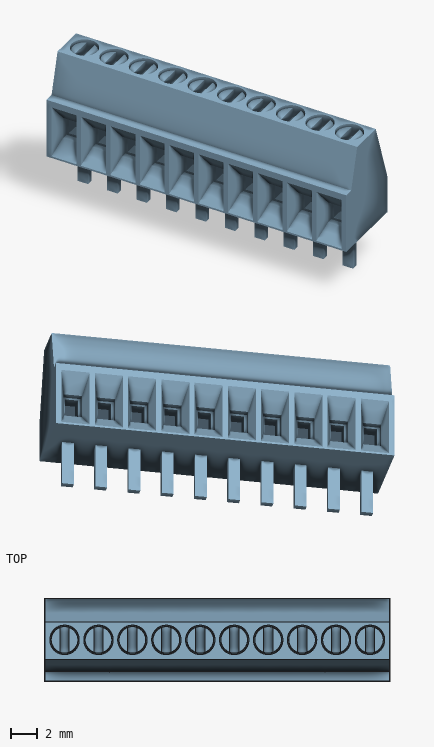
import cadquery as cq

pole_count = 10
pitch = 2.54
end_margin = 1.5
body_length = (pole_count - 1) * pitch + 2 * end_margin

body_depth = 6.2
body_height = 8.5
back_wall_height = 3.2
ledge_height = 5.1
ledge_depth = 0.75
top_back_y = 1.35
top_front_y = -1.45
front_y = -body_depth / 2
back_y = body_depth / 2

funnel_mouth_width = 2.15
funnel_bottom = 0.15
funnel_top = 4.55
funnel_depth = 1.1
clamp_width = 1.4
clamp_bottom = 1.3
clamp_top = 3.1
clamp_depth = 0.5
recess_width = 1.0
recess_bottom = 1.5
recess_top = 2.95
recess_depth = 1.0

screw_hole_diameter = 2.2
screw_hole_depth = 2.0
screw_diameter = 2.0
screw_head_drop = 0.2
slot_width = 0.7
slot_depth = 0.8

pin_width = 0.9
pin_thickness = 0.5
pin_length = 3.5

pole_positions = [(i - (pole_count - 1) / 2) * pitch for i in range(pole_count)]


def at_every_pole(shape):
    """Return a workplane holding a copy of the shape at each pole."""
    copies = cq.Workplane("XY")
    for x in pole_positions:
        copies = copies.add(shape.translate((x, 0, 0)))
    return copies.combine()


def make_housing():
    profile = [
        (front_y, 0),
        (back_y, 0),
        (back_y, back_wall_height),
        (top_back_y, body_height),
        (top_front_y, body_height),
        (front_y + ledge_depth, ledge_height),
        (front_y, ledge_height),
    ]
    return cq.Workplane("YZ").polyline(profile).close().extrude(body_length / 2, both=True)


def entry_pocket(width, bottom, top, start_y, depth):
    """Straight rectangular pocket running toward +Y from start_y."""
    height = top - bottom
    block = cq.Workplane("XY").box(width, depth, height, centered=(True, False, False))
    return block.translate((0, start_y, bottom))


def make_wire_entry():
    mouth_height = funnel_top - funnel_bottom
    clamp_height = clamp_top - clamp_bottom
    mouth_center_z = (funnel_top + funnel_bottom) / 2
    clamp_center_z = (clamp_top + clamp_bottom) / 2
    clamp_y = front_y + funnel_depth
    recess_y = clamp_y + clamp_depth

    funnel = (
        cq.Workplane("XZ", origin=(0, front_y, mouth_center_z))
        .rect(funnel_mouth_width, mouth_height)
        .workplane(offset=-funnel_depth)
        .center(0, clamp_center_z - mouth_center_z)
        .rect(clamp_width, clamp_height)
        .loft(ruled=True)
    )
    clamp = entry_pocket(clamp_width, clamp_bottom, clamp_top, clamp_y, clamp_depth)
    recess = entry_pocket(recess_width, recess_bottom, recess_top, recess_y, recess_depth)
    return funnel.union(clamp).union(recess)


def make_screw_cavity():
    """Hole around the screw, less the slotted screw standing in it."""
    hole_floor = body_height - screw_hole_depth
    screw_top = body_height - screw_head_drop
    floor_plane = cq.Workplane("XY", origin=(0, 0, hole_floor))
    hole = floor_plane.circle(screw_hole_diameter / 2).extrude(screw_hole_depth)
    screw = floor_plane.circle(screw_diameter / 2).extrude(screw_top - hole_floor)
    slot = (
        cq.Workplane("XY", origin=(0, 0, screw_top - slot_depth))
        .rect(slot_width, screw_diameter)
        .extrude(slot_depth)
    )
    return hole.cut(screw.cut(slot))


def make_pin():
    return cq.Workplane("XY").rect(pin_width, pin_thickness).extrude(-pin_length)


result = (
    make_housing()
    .cut(at_every_pole(make_wire_entry()))
    .cut(at_every_pole(make_screw_cavity()))
    .union(at_every_pole(make_pin()))
)